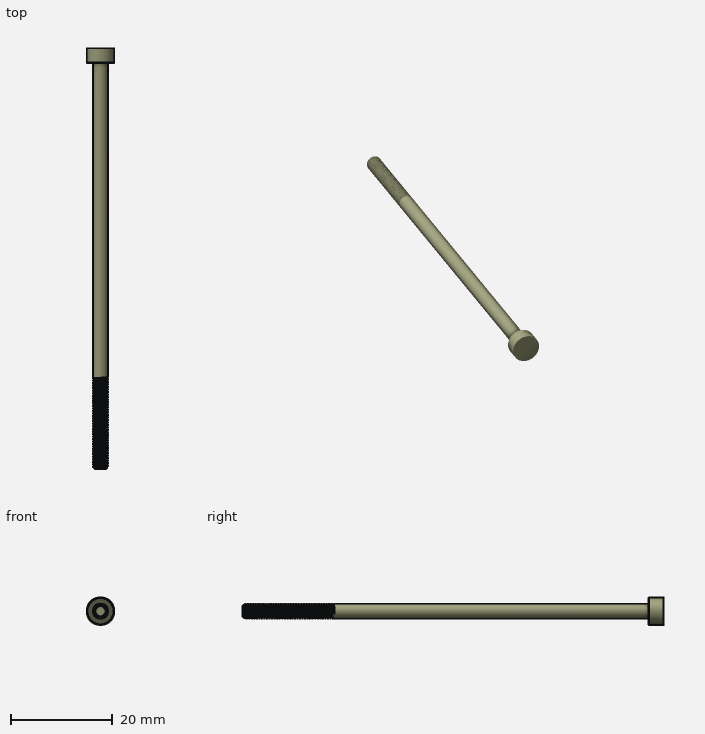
import cadquery as cq

overall_length = 83.0
head_diameter = 5.5
head_height = 3.0
head_edge_chamfer = 0.2
shank_diameter = 3.0

thread_length = 18.0
thread_turns = 36
thread_depth = 0.31
thread_start_angle = 20
tip_chamfer = 0.5
cut_clearance = 0.04

head_radius = head_diameter / 2
shank_radius = shank_diameter / 2
thread_pitch = thread_length / thread_turns
crest_flat = thread_pitch / 8
root_flat = thread_pitch / 4
tip_z = -overall_length / 2
head_bottom_z = overall_length / 2 - head_height

groove_start_z = tip_z - thread_pitch
rod_bottom_z = groove_start_z - 2 * thread_pitch


def make_rod():
    """Plain round rod from below the tip up to the head."""
    return (
        cq.Workplane("XY", origin=(0, 0, rod_bottom_z))
        .circle(shank_radius)
        .extrude(head_bottom_z - rod_bottom_z)
    )


def make_thread_groove():
    """Helical V groove from below the tip to the end of the threaded length."""
    root_radius = shank_radius - thread_depth
    outer_radius = shank_radius + cut_clearance
    half_root = root_flat / 2
    half_mouth = (thread_pitch - crest_flat) / 2
    flank_slope = (half_mouth - half_root) / thread_depth
    half_outer = half_mouth + flank_slope * cut_clearance

    section = (
        cq.Workplane("XZ")
        .moveTo(root_radius, groove_start_z - half_root)
        .lineTo(outer_radius, groove_start_z - half_outer)
        .lineTo(outer_radius, groove_start_z + half_outer)
        .lineTo(root_radius, groove_start_z + half_root)
        .close()
    )
    helix = cq.Wire.makeHelix(
        thread_pitch,
        thread_length + thread_pitch,
        shank_radius,
        center=cq.Vector(0, 0, groove_start_z),
    )
    groove = section.sweep(cq.Workplane(obj=helix), isFrenet=True)
    return groove.rotate((0, 0, 0), (0, 0, 1), thread_start_angle)


def make_tip_waste():
    """Material below the tip plane, and outside the tip chamfer."""
    waste_bottom_z = rod_bottom_z - thread_pitch
    chamfer_run = head_radius - shank_radius + tip_chamfer
    profile = (
        cq.Workplane("XZ")
        .moveTo(0, waste_bottom_z)
        .lineTo(0, tip_z)
        .lineTo(shank_radius - tip_chamfer, tip_z)
        .lineTo(head_radius, tip_z + chamfer_run)
        .lineTo(head_radius, waste_bottom_z)
        .close()
    )
    return profile.revolve(360, (0, 0, 0), (0, 1, 0))


def make_head():
    """Cylindrical head with a chamfer around its underside."""
    return (
        cq.Workplane("XY", origin=(0, 0, head_bottom_z))
        .circle(head_radius)
        .extrude(head_height)
        .faces("<Z")
        .chamfer(head_edge_chamfer)
    )


upright_screw = make_rod().cut(make_thread_groove()).cut(make_tip_waste()).union(make_head())
result = upright_screw.rotate((0, 0, 0), (1, 0, 0), -90)